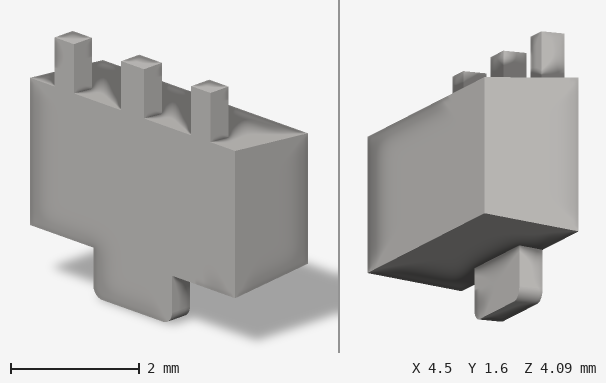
import cadquery as cq
import math

housing_width = 4.5
housing_depth = 1.6
housing_height = 2.452
draft_angle = 5.0
draft_slope = math.tan(math.radians(draft_angle))
housing_half_height = housing_height / 2
draft_inset = housing_depth * draft_slope

overall_height = 4.09
lead_thickness = 0.395
top_z = overall_height / 2
bottom_z = -top_z
side_lead_width = 0.425
side_lead_offset = 1.5
center_lead_width = 0.5
tab_width = 1.73
shoulder_inner_z = 0.742
shoulder_outer_z = 0.6
tab_corner_radius = 0.2


def make_housing_blank():
    """Trapezoidal prism with drafted top and bottom faces."""
    back_half_height = housing_half_height - draft_inset
    return (
        cq.Workplane("YZ")
        .polyline([
            (0, -housing_half_height),
            (housing_depth, -back_half_height),
            (housing_depth, back_half_height),
            (0, housing_half_height),
        ])
        .close()
        .extrude(housing_width / 2, both=True)
    )


def make_tab():
    """Wide tab with sloped shoulders narrowing to the center lead."""
    half_tab = tab_width / 2
    half_lead = center_lead_width / 2
    plate = (
        cq.Workplane("XZ")
        .polyline([
            (-half_tab, bottom_z),
            (half_tab, bottom_z),
            (half_tab, shoulder_outer_z),
            (half_lead, shoulder_inner_z),
            (half_lead, top_z),
            (-half_lead, top_z),
            (-half_lead, shoulder_inner_z),
            (-half_tab, shoulder_outer_z),
        ])
        .close()
        .extrude(-lead_thickness)
    )
    return plate.faces("<Z").edges("|Y").fillet(tab_corner_radius)


def make_side_lead(center_x):
    """Square-topped lead whose foot rests on the drafted top face of the housing."""
    foot_back_z = housing_half_height - lead_thickness * draft_slope
    return (
        cq.Workplane("YZ", origin=(center_x, 0, 0))
        .polyline([
            (0, housing_half_height),
            (lead_thickness, foot_back_z),
            (lead_thickness, top_z),
            (0, top_z),
        ])
        .close()
        .extrude(side_lead_width / 2, both=True)
    )


tab = make_tab()
housing = make_housing_blank().cut(tab)
side_leads = [make_side_lead(side * side_lead_offset) for side in (-1, 1)]

result = cq.Compound.makeCompound([
    housing.val(),
    tab.val(),
    *[lead.val() for lead in side_leads],
])